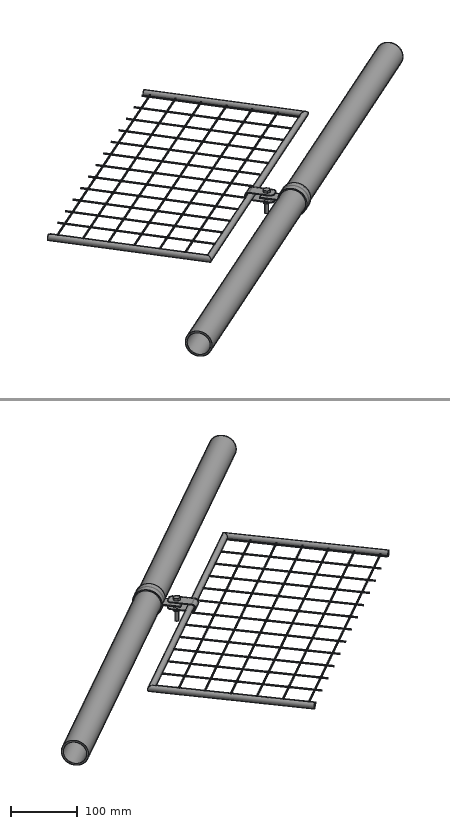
import cadquery as cq
import math


PIPE_LENGTH = 1000.0
PIPE_RADIUS = 21.0
PIPE_WALL = 3.0

CLAMP_WIDTH = 20.0
BAND_THICKNESS = 2.0
BAND_RADIUS = PIPE_RADIUS + BAND_THICKNESS
TONGUE_TIP_X = -51.0

BAR_RADIUS = 5.0
WIRE_RADIUS = 1.0
GRID_PITCH = 40.0
CROSS_WIRES = 13
LENGTHWISE_WIRES = 6
ARM_TO_WIRE = 10.0
SPINE_X = -66.0
PANEL_OPEN_X = -317.0
PANEL_CENTRE_Y = 24.0
GRID_HALF_SPAN = (CROSS_WIRES - 1) * GRID_PITCH / 2
GRID_LOW_Y = PANEL_CENTRE_Y - GRID_HALF_SPAN
ARM_LOW_Y = GRID_LOW_Y - ARM_TO_WIRE
ARM_HIGH_Y = PANEL_CENTRE_Y + GRID_HALF_SPAN + ARM_TO_WIRE

HOOK_THICKNESS = 1.5
HOOK_INNER_RADIUS = BAR_RADIUS
HOOK_OUTER_RADIUS = HOOK_INNER_RADIUS + HOOK_THICKNESS
HOOK_BEND_X = -68.0
HOOK_END_X = -30.0
HOOK_CHAMFER = 4.0

BOLT_X = -43.0
BOLT_RADIUS = 3.0
BOLT_TIP_Z = -29.0
HEX_FLATS = 10.0
HEX_CORNERS = HEX_FLATS / math.cos(math.pi / 6)
HEAD_HEIGHT = 4.0
NUT_HEIGHT = 5.0


def wire_along_x(y):
    """Cross wire from the open side of the panel to the spine."""
    return (
        cq.Workplane("YZ", origin=(PANEL_OPEN_X, y, 0))
        .circle(WIRE_RADIUS)
        .extrude(SPINE_X - PANEL_OPEN_X)
    )


def wire_along_y(x):
    """Lengthwise wire from one frame arm to the other."""
    return (
        cq.Workplane("XZ", origin=(x, ARM_HIGH_Y, 0))
        .circle(WIRE_RADIUS)
        .extrude(ARM_HIGH_Y - ARM_LOW_Y)
    )


def bolt_shank():
    """Shank from the top of the hook to the bolt tip; also the cutter for the bolt holes."""
    return (
        cq.Workplane("XY", origin=(BOLT_X, 0, BOLT_TIP_Z))
        .circle(BOLT_RADIUS)
        .extrude(HOOK_OUTER_RADIUS - BOLT_TIP_Z)
    )


def hexagon_prism(z_bottom, height):
    return (
        cq.Workplane("XY", origin=(BOLT_X, 0, z_bottom))
        .polygon(6, HEX_CORNERS)
        .extrude(height)
    )


def make_pipe():
    return (
        cq.Workplane("XZ")
        .circle(PIPE_RADIUS)
        .circle(PIPE_RADIUS - PIPE_WALL)
        .extrude(PIPE_LENGTH / 2, both=True)
    )


def make_band():
    tongue = (
        cq.Workplane("XY", origin=(TONGUE_TIP_X / 2, 0, 0))
        .box(-TONGUE_TIP_X, CLAMP_WIDTH, BAND_THICKNESS)
    )
    ring = cq.Workplane("XZ").circle(BAND_RADIUS).extrude(CLAMP_WIDTH / 2, both=True)
    bore = cq.Workplane("XZ").circle(PIPE_RADIUS).extrude(CLAMP_WIDTH, both=True)
    return ring.union(tongue).cut(bore).cut(bolt_shank())


def hook_profile(radius):
    """Solid U shape with its round end at the spine and its flat end towards the pipe."""
    return (
        cq.Workplane("XZ")
        .moveTo(HOOK_END_X, radius)
        .lineTo(HOOK_BEND_X, radius)
        .threePointArc((HOOK_BEND_X - radius, 0), (HOOK_BEND_X, -radius))
        .lineTo(HOOK_END_X, -radius)
        .close()
        .extrude(CLAMP_WIDTH / 2, both=True)
    )


def make_hook():
    hook = hook_profile(HOOK_OUTER_RADIUS).cut(hook_profile(HOOK_INNER_RADIUS))
    hook = hook.edges("|Z and >X").chamfer(HOOK_CHAMFER)
    return hook.cut(bolt_shank())


def make_frame():
    """Round bar swept along the three sides, with mitred corners."""
    path = cq.Workplane("XY").polyline([
        (PANEL_OPEN_X, ARM_LOW_Y),
        (SPINE_X, ARM_LOW_Y),
        (SPINE_X, ARM_HIGH_Y),
        (PANEL_OPEN_X, ARM_HIGH_Y),
    ])
    return (
        cq.Workplane("YZ", origin=(PANEL_OPEN_X, ARM_LOW_Y, 0))
        .circle(BAR_RADIUS)
        .sweep(path, transition="right")
    )


def make_panel():
    panel = make_frame()
    for i in range(CROSS_WIRES):
        panel = panel.union(wire_along_x(GRID_LOW_Y + i * GRID_PITCH))
    for i in range(1, LENGTHWISE_WIRES + 1):
        panel = panel.union(wire_along_y(SPINE_X - i * GRID_PITCH))
    return panel


def make_bolt():
    return bolt_shank().union(hexagon_prism(HOOK_OUTER_RADIUS, HEAD_HEIGHT))


def make_nut():
    return hexagon_prism(-HOOK_OUTER_RADIUS - NUT_HEIGHT, NUT_HEIGHT).cut(bolt_shank())


pipe = make_pipe()
band = make_band()
hook = make_hook()
panel = make_panel()
bolt = make_bolt()
nut = make_nut()

result = cq.Compound.makeCompound([
    pipe.val(),
    band.val(),
    hook.val(),
    panel.val(),
    bolt.val(),
    nut.val(),
])